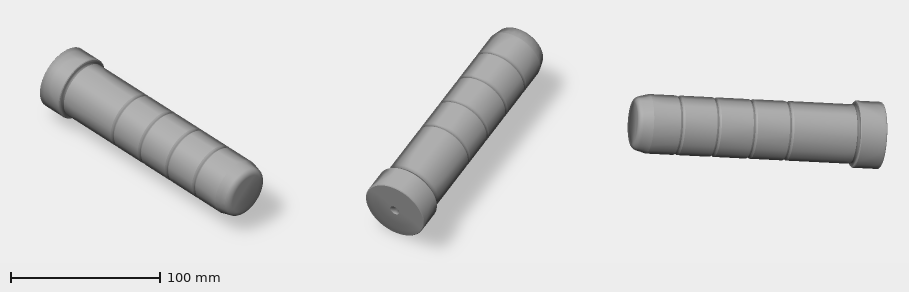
import cadquery as cq
import math

total_length = 170.0
head_diameter = 45.0
head_length = 18.0
head_chamfer = 0.5
shank_diameter = 40.0
shank_radius = shank_diameter / 2

relief_radius = 1.0

groove_count = 4
first_groove_center = 65.0
groove_pitch = 25.0
groove_width = 3.0
groove_depth = 1.0

taper_length = 10.0
taper_angle = 15.0
nose_radius = 4.0

center_mouth_diameter = 7.0
center_bore_diameter = 3.7
countersink_angle = 60.0
center_bore_length = 4.0
drill_point_angle = 120.0


def cone_length(large_diameter, small_diameter, included_angle):
    """Axial length of a cone between two diameters."""
    return (large_diameter - small_diameter) / 2 / math.tan(math.radians(included_angle / 2))


def revolve_about_x(profile):
    """Turn a closed half profile, drawn in XY, around the X axis."""
    return profile.close().revolve(360, (0, 0, 0), (1, 0, 0))


def make_head():
    head = cq.Workplane("YZ").circle(head_diameter / 2).extrude(head_length)
    return head.edges().chamfer(head_chamfer)


def make_shank():
    """Relief groove, cylindrical shank and tapered nose as one revolved body."""
    relief_center = head_length + relief_radius
    relief_end = relief_center + relief_radius
    tip_radius = shank_radius - taper_length * math.tan(math.radians(taper_angle))
    profile = (
        cq.Workplane("XY")
        .moveTo(0, 0)
        .lineTo(0, shank_radius)
        .lineTo(head_length, shank_radius)
        .threePointArc((relief_center, shank_radius - relief_radius), (relief_end, shank_radius))
        .lineTo(total_length - taper_length, shank_radius)
        .lineTo(total_length, tip_radius)
        .lineTo(total_length, 0)
    )
    return revolve_about_x(profile).faces(">X").edges().fillet(nose_radius)


def make_groove_cutter(center):
    profile = (
        cq.Workplane("XY")
        .moveTo(center - groove_width / 2, shank_radius)
        .lineTo(center, shank_radius - groove_depth)
        .lineTo(center + groove_width / 2, shank_radius)
        .lineTo(center + groove_width / 2, head_diameter / 2)
        .lineTo(center - groove_width / 2, head_diameter / 2)
    )
    return revolve_about_x(profile)


def make_center_hole_cutter():
    """Countersink, short bore and drill point."""
    bore_start = cone_length(center_mouth_diameter, center_bore_diameter, countersink_angle)
    bore_end = bore_start + center_bore_length
    point_end = bore_end + cone_length(center_bore_diameter, 0, drill_point_angle)
    profile = (
        cq.Workplane("XY")
        .moveTo(0, 0)
        .lineTo(0, center_mouth_diameter / 2)
        .lineTo(bore_start, center_bore_diameter / 2)
        .lineTo(bore_end, center_bore_diameter / 2)
        .lineTo(point_end, 0)
    )
    return revolve_about_x(profile)


result = make_head().union(make_shank())
for index in range(groove_count):
    result = result.cut(make_groove_cutter(first_groove_center + index * groove_pitch))
result = result.cut(make_center_hole_cutter())